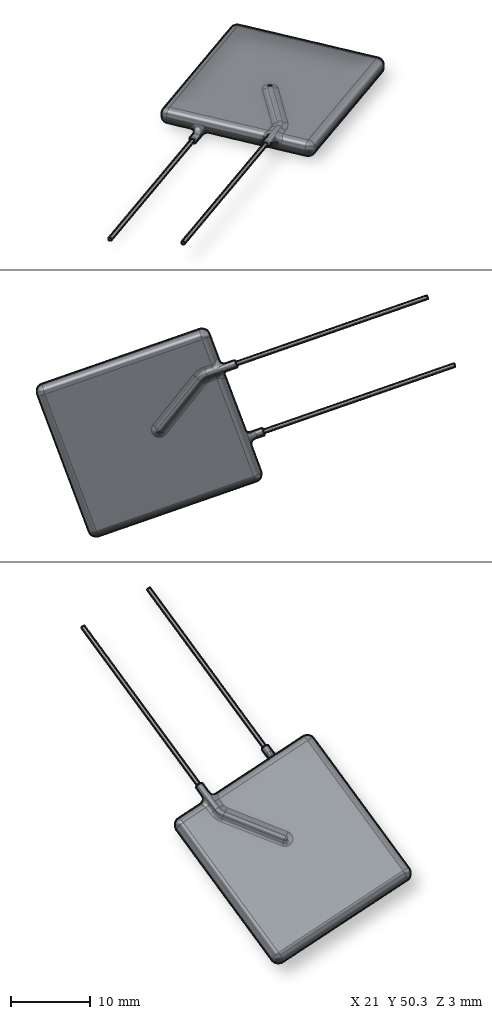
import cadquery as cq
import math

overall_length = 50.3
overall_thickness = 3.0

plate_width = 21.0
plate_length = 22.95
plate_thickness = 2.25
plate_rounding = 1.0

ridge_diameter = 1.0
ridge_radius = ridge_diameter / 2
sleeve_length = 1.95
sleeve_end_rounding = 0.15
blend_radius = 1.0

lead_pitch = 10.0
bend_start = 2.0
bend_radius = 2.0
bend_angle = 32.5
slanted_length = 8.25

lead_count = 2
half_turn = 180

wire_diameter = 0.5

front_edge = -plate_length / 2
sleeve_end = front_edge - sleeve_length
wire_end = plate_length / 2 - overall_length
lead_x = lead_pitch / 2
lead_z = overall_thickness / 2 - ridge_radius


def spin_about_y(shape, degrees):
    return shape.rotate((0, 0, 0), (0, 1, 0), degrees)


def make_plate():
    plate = cq.Workplane("XY").box(plate_width, plate_length, plate_thickness)
    return plate.edges("|Z").fillet(plate_rounding).faces("<Z or >Z").edges().fillet(plate_rounding)


def make_ridge():
    """Bent round bar with a rounded sleeve end and a ball at its inner end."""
    angle = math.radians(bend_angle)
    half_angle = angle / 2
    bend_y = front_edge + bend_start
    bend_centre_x = lead_x - bend_radius

    def on_bend(turned):
        return (bend_centre_x + bend_radius * math.cos(turned), bend_y + bend_radius * math.sin(turned))

    bend_end = on_bend(angle)
    tip = (
        bend_end[0] - slanted_length * math.sin(angle),
        bend_end[1] + slanted_length * math.cos(angle),
    )
    path = (
        cq.Workplane("XY", origin=(0, 0, lead_z))
        .moveTo(lead_x, sleeve_end)
        .lineTo(lead_x, bend_y)
        .threePointArc(on_bend(half_angle), bend_end)
        .lineTo(*tip)
    )
    bar = cq.Workplane("XZ", origin=(lead_x, sleeve_end, lead_z)).circle(ridge_radius).sweep(path)
    bar = bar.faces("<Y").edges().fillet(sleeve_end_rounding)
    ball = cq.Workplane("XY", origin=(*tip, lead_z)).sphere(ridge_radius)
    return bar.union(ball)


def blend_ridge(body):
    """Fillet the seam where the upper ridge leaves the plate's top face and front edge."""
    margin = 0.05
    seam = cq.selectors.BoxSelector(
        (-ridge_diameter, front_edge, lead_z - ridge_radius - margin),
        (lead_x + ridge_diameter, 0, plate_thickness / 2 + margin),
    )
    return body.edges(seam).fillet(blend_radius)


def make_body():
    """Plate with a blended ridge on each side, the second half a turn about Y from the first."""
    body = make_plate()
    ridge = make_ridge()
    for _ in range(lead_count):
        body = blend_ridge(body.union(ridge))
        body = spin_about_y(body, half_turn)
    return body


def make_wire(side):
    """Side 0 is the upper wire; side 1 is the same wire half a turn about Y."""
    wire = (
        cq.Workplane("XZ", origin=(lead_x, sleeve_end, lead_z))
        .circle(wire_diameter / 2)
        .extrude(sleeve_end - wire_end)
    )
    return spin_about_y(wire, half_turn * side)


body = make_body()
wires = [make_wire(side) for side in range(lead_count)]

result = cq.Compound.makeCompound([body.val(), *[wire.val() for wire in wires]])